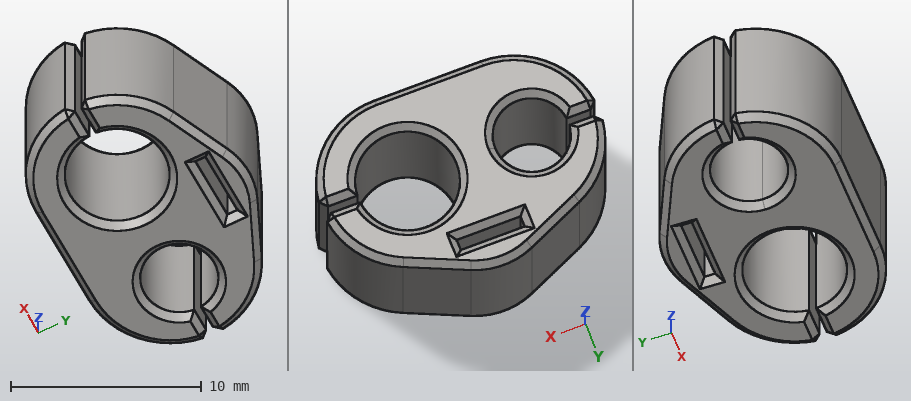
import cadquery as cq
import math

height = 8.0
chamfer = 0.4

side_radius = 4.8
side_offset = 3.0
crown_radius = 4.2
crown_center_y = 2.0

large_bore_radius = 2.75
large_bore_x = side_offset
small_bore_radius = 2.05
small_bore_shift = 1.0
small_bore_x = -side_offset - small_bore_shift
mouth_width = 0.4

strap_width = 3.6
strap_thickness = 0.6
strap_center_y = 4.3

select_margin = 0.01


def polar(center_x, center_y, radius, angle):
    """Point on a circle at an angle measured from +X."""
    return (center_x + radius * math.cos(angle), center_y + radius * math.sin(angle))


def mirrored(point):
    """Reflect a point across X = 0."""
    return (-point[0], point[1])


def make_body():
    center_distance = math.hypot(side_offset, crown_center_y)
    center_line_angle = math.atan2(crown_center_y, -side_offset)
    normal = center_line_angle - math.acos((side_radius - crown_radius) / center_distance)

    side_tangent = polar(side_offset, 0, side_radius, normal)
    crown_tangent = polar(0, crown_center_y, crown_radius, normal)
    crown_top = (0, crown_center_y + crown_radius)
    front_corner = (side_offset, -side_radius)
    side_middle = polar(side_offset, 0, side_radius, (normal - math.pi / 2) / 2)

    return (
        cq.Workplane("XY")
        .moveTo(*mirrored(front_corner))
        .lineTo(*front_corner)
        .threePointArc(side_middle, side_tangent)
        .lineTo(*crown_tangent)
        .threePointArc(crown_top, mirrored(crown_tangent))
        .lineTo(*mirrored(side_tangent))
        .threePointArc(mirrored(side_middle), mirrored(front_corner))
        .close()
        .extrude(height)
    )


def cut_cable_seat(body, bore_x, bore_radius, side):
    """Cut a bore and its mouth, which opens toward side (+1 for +X, -1 for -X)."""
    mouth_length = 2 * side_radius
    bore = cq.Workplane("XY").center(bore_x, 0).circle(bore_radius).extrude(height)
    mouth = (
        cq.Workplane("XY")
        .center(bore_x + side * mouth_length / 2, 0)
        .rect(mouth_length, mouth_width)
        .extrude(height)
    )
    return body.cut(bore.union(mouth))


def cut_strap_slot(body):
    slot = (
        cq.Workplane("XY")
        .center(0, strap_center_y)
        .rect(strap_width, strap_thickness)
        .extrude(height)
    )
    return body.cut(slot)


def mouth_edge_selector(side):
    """Select the two upright outer edges of the mouth on one side (+1 for +X, -1 for -X)."""
    half_mouth = mouth_width / 2
    edge_x = side * (side_offset + math.sqrt(side_radius**2 - half_mouth**2))
    return cq.selectors.BoxSelector(
        (edge_x - select_margin, -half_mouth - select_margin, 0),
        (edge_x + select_margin, half_mouth + select_margin, height),
    )


def chamfer_edges(body):
    """Bevel every edge of both end faces and the outer upright edges of the mouths."""
    end_edges = body.faces("|Z").edges()
    mouth_edges = body.edges(mouth_edge_selector(1) + mouth_edge_selector(-1))
    return end_edges.add(mouth_edges).chamfer(chamfer)


body = make_body()
body = cut_cable_seat(body, large_bore_x, large_bore_radius, 1)
body = cut_cable_seat(body, small_bore_x, small_bore_radius, -1)
body = cut_strap_slot(body)
result = chamfer_edges(body)